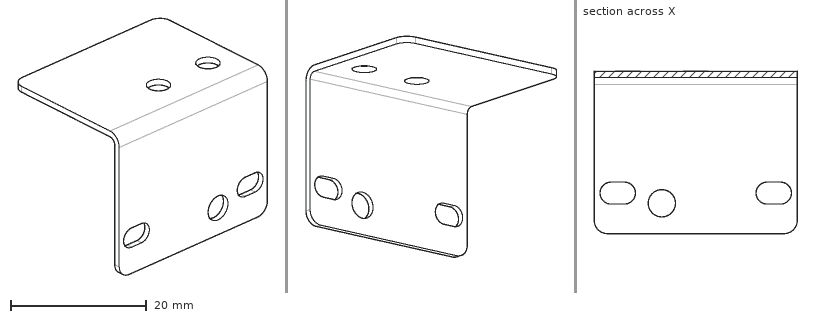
import cadquery as cq

depth = 23.0
width = 30.0
height = 24.0
thickness = 1.0
inner_bend_radius = 1.0
outer_bend_radius = inner_bend_radius + thickness
corner_radius = 2.0

top_hole_diameter = 3.6
top_hole_inset = 7.5
hole_offset = width / 6

round_hole_diameter = 4.0
round_hole_height = 4.5
slot_length = 5.2
slot_width = 3.2
slot_height = 6.0
slot_spacing = 23.0


def bent_sheet():
    """L-shaped sheet: bend along Y at the +X, +Z edge, lower edge at Z = 0."""
    solid = cq.Workplane("XY").box(depth, width, height, centered=(True, True, False))
    solid = solid.edges("|Y and >X and >Z").fillet(outer_bend_radius)
    hollow = (
        cq.Workplane("XY")
        .box(depth, width, height, centered=(True, True, False))
        .edges("|Y and >X and >Z")
        .fillet(inner_bend_radius)
        .translate((-thickness, 0, -thickness))
    )
    return solid.cut(hollow)


def round_corners(sheet):
    """Round the free corners of both flanges."""
    sheet = sheet.faces("<X").edges("|Z").fillet(corner_radius)
    return sheet.faces("<Z").edges("|X").fillet(corner_radius)


def top_holes():
    """Cutters through the horizontal flange."""
    return (
        cq.Workplane("XY", origin=(depth / 2 - top_hole_inset, 0, height))
        .pushPoints([(0, 0), (0, 2 * hole_offset)])
        .circle(top_hole_diameter / 2)
        .extrude(-2 * thickness)
    )


def side_holes():
    """Cutters through the vertical flange: one round hole and two slots."""
    outer_face = cq.Workplane("YZ", origin=(depth / 2, 0, 0))
    round_hole = (
        outer_face.center(hole_offset, round_hole_height)
        .circle(round_hole_diameter / 2)
        .extrude(-2 * thickness)
    )
    slots = (
        outer_face.pushPoints([(side * slot_spacing / 2, slot_height) for side in (-1, 1)])
        .slot2D(slot_length, slot_width)
        .extrude(-2 * thickness)
    )
    return round_hole.union(slots)


result = round_corners(bent_sheet()).cut(top_holes()).cut(side_holes())